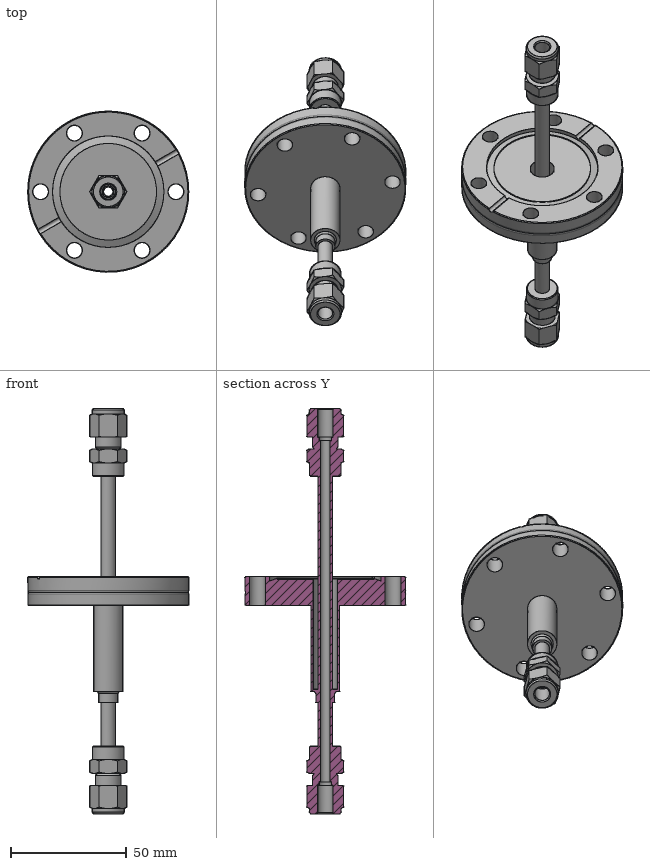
import cadquery as cq
import math

TOP_Z = 72.9
TOTAL_LENGTH = 176.0
BOTTOM_Z = TOP_Z - TOTAL_LENGTH

FLANGE_DIA = 69.9
FLANGE_THICKNESS = 12.7
FLANGE_CHAMFER = 0.4
RIM_GROOVE_Z = -6.9
RIM_GROOVE_WIDTH = 1.6
RIM_GROOVE_DEPTH = 0.2

SEAL_RECESS_DIA = 48.3
SEAL_RECESS_DEPTH = 1.9
KNIFE_EDGE_DIA = 41.9
KNIFE_EDGE_DEPTH = 0.7
SEAL_FLOOR_DEPTH = 1.2

BOLT_COUNT = 6
BOLT_CIRCLE_DIA = 58.7
BOLT_HOLE_DIA = 6.7
LEAK_GROOVE_ANGLES = (30, 210)
LEAK_GROOVE_WIDTH = 2.2

SLEEVE_DIA = 12.7
SLEEVE_BORE_DIA = 10.4
SLEEVE_END_Z = -50.0
SLEEVE_FLOOR_THICKNESS = (SLEEVE_DIA - SLEEVE_BORE_DIA) / 2
COLLAR_DIA = 8.3
COLLAR_END_Z = -54.7
COLLAR_NECK_DIA = 9.6
COLLAR_NECK_LENGTH = 0.9

PIPE_DIA = 6.35
PIPE_BORE_DIA = 4.0

HEX_FLATS = 14.0
HEX_CORNERS = HEX_FLATS / math.cos(math.radians(30))
HEX_CROWN_SLOPE = math.tan(math.radians(30))
LIP_DIA = HEX_FLATS
LIP_CHAMFER_LENGTH = 0.8
LIP_CHAMFER_WIDTH = 0.6
LIP_LENGTH = 2.4
NUT_END = 12.5
NECK_DIA = 11.2
NECK_END = 16.8
NECK_ROOT_DIA = 9.8
BODY_HEX_START = 17.6
BODY_HEX_END = 23.7
NUT_END_FACE_DIA = 14.9
BODY_HEX_FACE_DIA = HEX_FLATS
SHOULDER_DIA = 13.7
SHOULDER_CHAMFER = 0.4
FITTING_LENGTH = 29.5
SOCKET_DIA = 6.4
SOCKET_DEPTH = NUT_END
SEAT_DIA = 5.2
SEAT_DEPTH = 14.0
SOCKET_MOUTH_DIA = 7.4
SOCKET_MOUTH_DEPTH = 0.6


def revolve(points):
    """Turn a closed (radius, z) outline about the Z axis."""
    return cq.Workplane("XZ").polyline(points).close().revolve(360, (0, 0), (0, 1))


def rod(diameter, z_low, z_high):
    """Round bar on the Z axis."""
    return cq.Workplane("XY").workplane(offset=z_low).circle(diameter / 2).extrude(z_high - z_low)


def hex_bar(start, end):
    """Hexagon on the Z axis with two corners on the X axis."""
    return cq.Workplane("XY").workplane(offset=start).polygon(6, HEX_CORNERS).extrude(end - start)


def make_flange():
    radius = FLANGE_DIA / 2
    recess_radius = SEAL_RECESS_DIA / 2
    knife_radius = KNIFE_EDGE_DIA / 2
    half_groove = RIM_GROOVE_WIDTH / 2
    return revolve([
        (0, -FLANGE_THICKNESS),
        (radius - FLANGE_CHAMFER, -FLANGE_THICKNESS),
        (radius, -FLANGE_THICKNESS + FLANGE_CHAMFER),
        (radius, RIM_GROOVE_Z - half_groove),
        (radius - RIM_GROOVE_DEPTH, RIM_GROOVE_Z),
        (radius, RIM_GROOVE_Z + half_groove),
        (radius, -FLANGE_CHAMFER),
        (radius - FLANGE_CHAMFER, 0),
        (recess_radius, 0),
        (recess_radius, -SEAL_RECESS_DEPTH),
        (knife_radius, -KNIFE_EDGE_DEPTH),
        (knife_radius, -SEAL_FLOOR_DEPTH),
        (0, -SEAL_FLOOR_DEPTH),
    ])


def make_bolt_holes():
    return (
        cq.Workplane("XY")
        .polarArray(BOLT_CIRCLE_DIA / 2, 0, 360, BOLT_COUNT)
        .circle(BOLT_HOLE_DIA / 2)
        .extrude(-FLANGE_THICKNESS)
    )


def make_leak_groove(angle):
    """Half-round channel from the seal recess out through the rim."""
    start = (SEAL_RECESS_DIA - LEAK_GROOVE_WIDTH) / 2
    channel = (
        cq.Workplane("YZ")
        .workplane(offset=start)
        .circle(LEAK_GROOVE_WIDTH / 2)
        .extrude(FLANGE_DIA / 2)
        .rotate((0, 0, 0), (1, 0, 0), 90)
    )
    return channel.rotate((0, 0, 0), (0, 0, 1), angle)


def make_sleeve():
    neck_end_z = SLEEVE_END_Z - COLLAR_NECK_LENGTH
    return revolve([
        (0, -FLANGE_THICKNESS),
        (SLEEVE_DIA / 2, -FLANGE_THICKNESS),
        (SLEEVE_DIA / 2, SLEEVE_END_Z),
        (COLLAR_NECK_DIA / 2, SLEEVE_END_Z),
        (COLLAR_DIA / 2, neck_end_z),
        (COLLAR_DIA / 2, COLLAR_END_Z),
        (0, COLLAR_END_Z),
    ])


def crowned_hex(start, end, start_face_dia, end_face_dia):
    """Hexagon with its corners turned off at 30 degrees down to a round face at each end."""
    corner_radius = HEX_CORNERS / 2
    start_radius = start_face_dia / 2
    end_radius = end_face_dia / 2
    crown = revolve([
        (0, start),
        (start_radius, start),
        (corner_radius, start + (corner_radius - start_radius) * HEX_CROWN_SLOPE),
        (corner_radius, end - (corner_radius - end_radius) * HEX_CROWN_SLOPE),
        (end_radius, end),
        (0, end),
    ])
    return hex_bar(start, end).intersect(crown)


def make_nut():
    """Hexagon nut turned down to a round lip at its open end (Z = 0)."""
    lip_radius = LIP_DIA / 2
    lip = revolve([
        (0, 0),
        (lip_radius - LIP_CHAMFER_WIDTH, 0),
        (lip_radius, LIP_CHAMFER_LENGTH),
        (lip_radius, LIP_LENGTH),
        (0, LIP_LENGTH),
    ])
    return crowned_hex(LIP_LENGTH, NUT_END, LIP_DIA, NUT_END_FACE_DIA).union(lip)


def make_fitting_body():
    """Neck, crowned hexagon and round shoulder behind the nut."""
    neck = revolve([
        (0, NUT_END),
        (NECK_DIA / 2, NUT_END),
        (NECK_DIA / 2, NECK_END),
        (NECK_ROOT_DIA / 2, BODY_HEX_START),
        (0, BODY_HEX_START),
    ])
    hexagon = crowned_hex(BODY_HEX_START, BODY_HEX_END, BODY_HEX_FACE_DIA, BODY_HEX_FACE_DIA)
    shoulder = rod(SHOULDER_DIA, BODY_HEX_END, FITTING_LENGTH).faces(">Z").chamfer(SHOULDER_CHAMFER)
    return neck.union(hexagon).union(shoulder)


def make_fitting():
    """Fitting with its open end at Z = 0, extending along +Z."""
    socket = revolve([
        (0, 0),
        (SOCKET_MOUTH_DIA / 2, 0),
        (SOCKET_DIA / 2, SOCKET_MOUTH_DEPTH),
        (SOCKET_DIA / 2, SOCKET_DEPTH),
        (SEAT_DIA / 2, SOCKET_DEPTH),
        (SEAT_DIA / 2, SEAT_DEPTH),
        (0, SEAT_DEPTH),
    ])
    return make_nut().union(make_fitting_body()).cut(socket)


housing = make_flange().union(make_sleeve())
housing = housing.cut(rod(SLEEVE_BORE_DIA, SLEEVE_END_Z + SLEEVE_FLOOR_THICKNESS, 0))
housing = housing.cut(make_bolt_holes())
for groove_angle in LEAK_GROOVE_ANGLES:
    housing = housing.cut(make_leak_groove(groove_angle))

fitting = make_fitting()
lower_fitting = fitting.translate((0, 0, BOTTOM_Z))
upper_fitting = fitting.rotate((0, 0, 0), (1, 0, 0), 180).translate((0, 0, TOP_Z))
pipe = rod(PIPE_DIA, BOTTOM_Z + FITTING_LENGTH, TOP_Z - FITTING_LENGTH)

result = housing.union(pipe).union(lower_fitting).union(upper_fitting)
result = result.cut(rod(PIPE_BORE_DIA, BOTTOM_Z, TOP_Z))